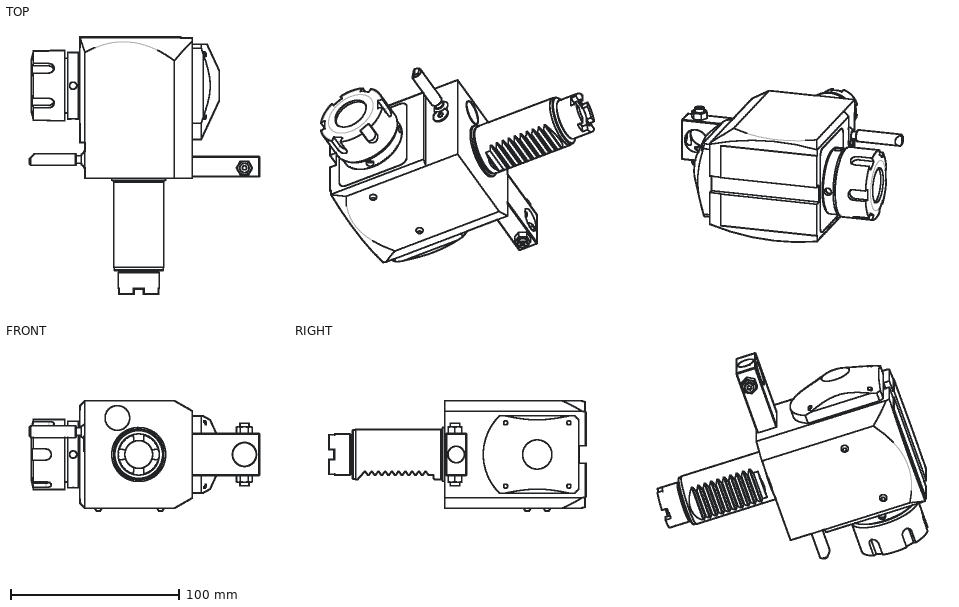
import cadquery as cq
import math


HALF_BLOCK = 32.0
BLOCK_BACK_Y = 83.5
PAD_X = -35.0
PAD_FRONT_Y = 21.3
PAD_CHAMFER = 3.0
BEVEL_X = 21.3
BEVEL_Z = 25.9
CROWN_CENTRE_X = -9.2
CROWN_BACK_RADIUS = 142.3
CROWN_BACK_Z = 31.4
CROWN_SLOPE = 0.28
BACK_PLATE_MAX_X = 25.0
BACK_PLATE_Y = 84.2
BACK_PLATE_HALF_HEIGHT = 25.2
BACK_NOTCH_HALF_HEIGHT = 5.2
BACK_NOTCH_DEPTH = 4.1
PLUG_CENTRE = (-12.7, 21.7)
PLUG_RADIUS = 7.3
PLUG_DEPTH = 0.5
NOZZLE_CENTRES = [(-24.0, 60.9), (13.0, 49.1)]
NOZZLE_BASE_RADIUS = 2.1
NOZZLE_TIP_RADIUS = 1.0
NOZZLE_TIP_Z = -33.7

SHANK_RADIUS = 15.0
COLLAR_RADIUS = 16.0
SHANK_END_Y = -55.0
COUPLING_RADIUS = 12.2
COUPLING_START_Y = -55.8
COUPLING_END_Y = -68.8
COUPLING_BORE_RADIUS = 8.3
COUPLING_BORE_DEPTH = 2.9
COUPLING_SLOT_INNER_WIDTH = 5.4
COUPLING_SLOT_OUTER_WIDTH = 6.6
COUPLING_SLOT_DEPTH = 3.4
COUPLING_SLOT_COUNT = 4
FLAT_Z = -12.2
FLAT_START_Y = -6.7
FLAT_STEP_CHAMFER = 0.9
TOOTH_ROOT_Z = -10.3
TOOTH_PITCH = 4.01
TOOTH_COUNT = 10
TOOTH_FIRST_Y = -11.3
TOOTH_ROOT_WIDTH = 0.5
TOOTH_GAP_WIDTH = 3.4
FLAT_RUNOUT_Y = -51.9
BELOW_SHANK_Z = -18.4

SPINDLE_Y = 55.1
LABEL_LENGTH = 45.3
LABEL_HEIGHT = 52.8
LABEL_CORNER = 4.6
LABEL_THICKNESS = 0.2
RING_RADIUS = 19.9
RING_OUTER_X = -42.2
RING_INNER_X = -36.0
RING_GROOVE_RADIUS = 19.1
RING_HOLE_X = -39.0
RING_HOLE_RADIUS = 2.1
RING_HOLE_DEPTH = 3.0
NUT_RADIUS = 21.0
NUT_BACK_X = -43.9
NUT_FRONT_X = -64.0
NUT_FACE_RADIUS = 15.0
NUT_NECK_RADIUS = 16.4
NUT_BORE_RADIUS = 10.4
NUT_BORE_DEPTH = 1.5
NUT_SLOT_COUNT = 6
NUT_SLOT_WIDTH = 6.6
NUT_SLOT_FLOOR_RADIUS = 17.7
NUT_SLOT_END_X = -52.0
NUT_UPPER_SLOT_END_X = -50.3

CAP_RADIUS = 32.1
CAP_RIM_X = 37.2
CAP_TIP_X = 48.0
CAP_TIP_RADIUS = 8.7
CAP_HALF_HEIGHT = 23.0
CAP_BACK_Y = 79.7
CAP_CORNER_CHAMFER = 2.3
CAP_BEVEL_START_X = 38.2
CAP_BEVEL_SLOPE = 0.55
CAP_HOLE_SPACING = 37.6
CAP_HOLE_RADIUS = 1.2
CAP_HOLE_FLOOR_X = 38.5

PIN_Y = 11.2
PIN_Z = 13.6
PIN_RADIUS = 3.5
PIN_END_X = -65.0
PIN_HEAD_X = -37.2
PIN_NECK_RADIUS = 2.3
PIN_FLARE_X = -34.1
PIN_FLARE_RADII = (3.0, 4.6)
PIN_END_CHAMFER = 0.9
PIN_HEAD_CHAMFER = 0.5
PIN_BEVEL = 3.2
SCREW_Z = 6.7
SCREW_RADIUS = 4.9
SCREW_HEIGHT = 0.8
SCREW_SOCKET_SIZE = 3.4

ARM_END_X = 71.9
ARM_Y = (0.8, 13.0)
ARM_HALF_HEIGHT = 12.5
ARM_CHAMFER = 0.5
ARM_HOLE_X = 62.9
ARM_HOLE_RADIUS = 7.0
END_HOLE_RADIUS = 4.9
BOLT_RECESS_DEPTH = 0.5
BOLT_Y = 6.1
BOLT_NUT_SIZE = 9.5
BOLT_NUT_TOP_Z = 16.5
BOLT_NUT_CHAMFER = 0.8
BOLT_RADIUS = 2.8
BOLT_TOP_Z = 18.7
BOLT_SOCKET_SIZE = 2.8
BOLT_SOCKET_DEPTH = 1.5


def box(x_range, y_range, z_range):
    """Box between three pairs of coordinates."""
    sizes = [b - a for a, b in (x_range, y_range, z_range)]
    corner = (x_range[0], y_range[0], z_range[0])
    return cq.Workplane("XY").box(*sizes, centered=False).translate(corner)


def turned_about_x(profile, axis_y=SPINDLE_Y, axis_z=0):
    """Solid of revolution from (x, radius) points about an axis along X."""
    points = [(profile[0][0], 0)] + profile + [(profile[-1][0], 0)]
    solid = cq.Workplane("XY").polyline(points).close().revolve(360, (0, 0, 0), (1, 0, 0))
    return solid.translate((0, axis_y, axis_z))


def turned_about_y(profile):
    """Solid of revolution from (radius, y) points about the Y axis."""
    points = [(0, profile[0][1])] + profile + [(0, profile[-1][1])]
    return cq.Workplane("XY").polyline(points).close().revolve(360, (0, 0, 0), (0, 1, 0))


def crown():
    """Wide cone whose surface forms the curved slope on the upper back edge."""
    front_radius = CROWN_BACK_RADIUS + CROWN_SLOPE * BLOCK_BACK_Y
    cone = turned_about_y([(front_radius, 0), (CROWN_BACK_RADIUS, BLOCK_BACK_Y)])
    return cone.translate((CROWN_CENTRE_X, 0, CROWN_BACK_Z - CROWN_BACK_RADIUS))


def housing():
    block_outline = [
        (-HALF_BLOCK, -HALF_BLOCK), (BEVEL_X, -HALF_BLOCK), (HALF_BLOCK, -BEVEL_Z),
        (HALF_BLOCK, BEVEL_Z), (BEVEL_X, HALF_BLOCK), (-HALF_BLOCK, HALF_BLOCK),
    ]
    block = cq.Workplane("XZ").polyline(block_outline).close().extrude(-BLOCK_BACK_Y)

    pad_edge_z = HALF_BLOCK - PAD_CHAMFER
    pad_outline = [
        (-HALF_BLOCK, -HALF_BLOCK), (-HALF_BLOCK, HALF_BLOCK),
        (PAD_X, pad_edge_z), (PAD_X, -pad_edge_z),
    ]
    pad = (cq.Workplane("XZ", origin=(0, PAD_FRONT_Y, 0)).polyline(pad_outline).close()
           .extrude(PAD_FRONT_Y - BLOCK_BACK_Y))
    upper_crown = crown()
    lower_crown = upper_crown.mirror("XY")
    body = block.union(pad).intersect(upper_crown).intersect(lower_crown)

    back_plate = box((PAD_X, BACK_PLATE_MAX_X), (BLOCK_BACK_Y, BACK_PLATE_Y),
                     (-BACK_PLATE_HALF_HEIGHT, BACK_PLATE_HALF_HEIGHT))
    notch = box((PAD_X, HALF_BLOCK), (BACK_PLATE_Y - BACK_NOTCH_DEPTH, BACK_PLATE_Y),
                (-BACK_NOTCH_HALF_HEIGHT, BACK_NOTCH_HALF_HEIGHT))
    plug_recess = (cq.Workplane("XZ").center(*PLUG_CENTRE).circle(PLUG_RADIUS)
                   .extrude(-PLUG_DEPTH))
    body = body.union(back_plate).cut(notch).cut(plug_recess)
    for x, y in NOZZLE_CENTRES:
        nozzle = (cq.Workplane("XY", origin=(x, y, -HALF_BLOCK)).circle(NOZZLE_BASE_RADIUS)
                  .workplane(offset=NOZZLE_TIP_Z + HALF_BLOCK).circle(NOZZLE_TIP_RADIUS).loft())
        body = body.union(nozzle)
    return body


def toothed_flat():
    """Cutter for the flat under the shank and its row of teeth."""
    flat = [
        (FLAT_START_Y + FLAT_STEP_CHAMFER, BELOW_SHANK_Z),
        (FLAT_START_Y + FLAT_STEP_CHAMFER, -SHANK_RADIUS),
        (FLAT_START_Y, -SHANK_RADIUS + FLAT_STEP_CHAMFER),
        (FLAT_START_Y, FLAT_Z),
    ]
    for i in range(TOOTH_COUNT):
        y = TOOTH_FIRST_Y - i * TOOTH_PITCH
        flat += [
            (y + TOOTH_GAP_WIDTH / 2, FLAT_Z), (y + TOOTH_ROOT_WIDTH / 2, TOOTH_ROOT_Z),
            (y - TOOTH_ROOT_WIDTH / 2, TOOTH_ROOT_Z), (y - TOOTH_GAP_WIDTH / 2, FLAT_Z),
        ]
    flat.pop()
    flat += [(FLAT_RUNOUT_Y, -SHANK_RADIUS), (FLAT_RUNOUT_Y, BELOW_SHANK_Z)]
    return cq.Workplane("YZ").polyline(flat).close().extrude(COLLAR_RADIUS, both=True)


def shank():
    collar_edge_y = -1.0
    collar_end_y = -1.7
    relief_radius = 14.7
    relief_end_y = -2.5
    end_land_y = -53.0
    end_land_radius = 14.7
    neck_radius = 9.2
    edge_chamfer = 0.5
    body = turned_about_y([
        (COLLAR_RADIUS, 0), (COLLAR_RADIUS, collar_edge_y), (relief_radius, collar_end_y),
        (relief_radius, relief_end_y), (SHANK_RADIUS, relief_end_y),
        (SHANK_RADIUS, end_land_y), (end_land_radius, end_land_y),
        (end_land_radius, SHANK_END_Y + edge_chamfer), (end_land_radius - edge_chamfer, SHANK_END_Y),
        (neck_radius, SHANK_END_Y), (neck_radius, COUPLING_START_Y),
        (COUPLING_RADIUS - edge_chamfer, COUPLING_START_Y),
        (COUPLING_RADIUS, COUPLING_START_Y - edge_chamfer),
        (COUPLING_RADIUS, COUPLING_END_Y),
    ])
    body = body.cut(toothed_flat())

    bore = (cq.Workplane("XZ", origin=(0, COUPLING_END_Y, 0)).circle(COUPLING_BORE_RADIUS)
            .extrude(-COUPLING_BORE_DEPTH))
    body = body.cut(bore)
    inner_half = COUPLING_SLOT_INNER_WIDTH / 2
    outer_half = COUPLING_SLOT_OUTER_WIDTH / 2
    bore_overlap = 1.5
    inner_x = COUPLING_BORE_RADIUS - bore_overlap
    slot_outline = [
        (inner_x, -inner_half), (COUPLING_RADIUS, -outer_half),
        (COUPLING_RADIUS, outer_half), (inner_x, inner_half),
    ]
    slot = (cq.Workplane("XZ", origin=(0, COUPLING_END_Y, 0)).polyline(slot_outline).close()
            .extrude(-COUPLING_SLOT_DEPTH))
    slot = slot.cut(turned_about_y([(COUPLING_BORE_RADIUS, COUPLING_END_Y),
                                    (COUPLING_BORE_RADIUS, COUPLING_START_Y)]))
    for i in range(COUPLING_SLOT_COUNT):
        body = body.cut(slot.rotate((0, 0, 0), (0, 1, 0), i * 360 / COUPLING_SLOT_COUNT))
    return body


def nut_slot(end_x):
    """Cutter for a spanner slot at the top of the nut, open in front and round behind."""
    half_slot = NUT_SLOT_WIDTH / 2
    return (cq.Workplane("XY", origin=(0, SPINDLE_Y, NUT_SLOT_FLOOR_RADIUS))
            .moveTo(NUT_FRONT_X, -half_slot).lineTo(end_x - half_slot, -half_slot)
            .threePointArc((end_x, 0), (end_x - half_slot, half_slot))
            .lineTo(NUT_FRONT_X, half_slot).close().extrude(NUT_RADIUS))


def spindle_nose():
    bevel_start_x = -62.7
    bevel_start_radius = 20.2
    nose = turned_about_x([
        (NUT_FRONT_X, NUT_FACE_RADIUS), (bevel_start_x, bevel_start_radius),
        (bevel_start_x, NUT_RADIUS), (NUT_BACK_X, NUT_RADIUS), (NUT_BACK_X, NUT_NECK_RADIUS),
        (RING_OUTER_X, NUT_NECK_RADIUS), (RING_OUTER_X, RING_RADIUS),
        (RING_INNER_X, RING_RADIUS), (RING_INNER_X, RING_GROOVE_RADIUS),
        (PAD_X, RING_GROOVE_RADIUS),
    ])
    nose = nose.cut(turned_about_x([
        (NUT_FRONT_X, NUT_BORE_RADIUS), (NUT_FRONT_X + NUT_BORE_DEPTH, NUT_BORE_RADIUS),
    ]))

    for i in range(NUT_SLOT_COUNT):
        angle = 90 + i * 360 / NUT_SLOT_COUNT
        is_upper = round(math.cos(math.radians(angle)), 3) > 0
        slot = nut_slot(NUT_UPPER_SLOT_END_X if is_upper else NUT_SLOT_END_X)
        nose = nose.cut(slot.rotate((0, SPINDLE_Y, 0), (1, SPINDLE_Y, 0), angle))

    ring_hole = (cq.Workplane("XY", origin=(RING_HOLE_X, SPINDLE_Y, RING_RADIUS - RING_HOLE_DEPTH))
                 .circle(RING_HOLE_RADIUS).extrude(RING_RADIUS))
    for angle in (0, 90, 180, 270):
        nose = nose.cut(ring_hole.rotate((0, SPINDLE_Y, 0), (1, SPINDLE_Y, 0), angle))

    label = (cq.Workplane("YZ", origin=(PAD_X, SPINDLE_Y, 0)).rect(LABEL_LENGTH, LABEL_HEIGHT)
             .extrude(-LABEL_THICKNESS).edges("|X").fillet(LABEL_CORNER))
    return nose.union(label)


def end_cap():
    cone = turned_about_x([
        (HALF_BLOCK, CAP_RADIUS), (CAP_RIM_X, CAP_RADIUS), (CAP_TIP_X, CAP_TIP_RADIUS),
    ])
    bevel_end_z = CAP_HALF_HEIGHT - CAP_BEVEL_SLOPE * (CAP_TIP_X - CAP_BEVEL_START_X)
    side_outline = [
        (HALF_BLOCK, -CAP_HALF_HEIGHT), (CAP_BEVEL_START_X, -CAP_HALF_HEIGHT),
        (CAP_TIP_X, -bevel_end_z), (CAP_TIP_X, bevel_end_z),
        (CAP_BEVEL_START_X, CAP_HALF_HEIGHT), (HALF_BLOCK, CAP_HALF_HEIGHT),
    ]
    side_limits = cq.Workplane("XZ").polyline(side_outline).close().extrude(-CAP_BACK_Y)
    back_edges = side_limits.faces(">Y").edges("|X")
    holes = (cq.Workplane("YZ", origin=(CAP_HOLE_FLOOR_X, SPINDLE_Y, 0))
             .rect(CAP_HOLE_SPACING, CAP_HOLE_SPACING, forConstruction=True).vertices()
             .circle(CAP_HOLE_RADIUS).extrude(CAP_TIP_X - CAP_HOLE_FLOOR_X))
    return cone.intersect(back_edges.chamfer(CAP_CORNER_CHAMFER)).cut(holes)


def pin():
    flare_start, flare_end = PIN_FLARE_RADII
    body = turned_about_x([
        (PIN_END_X, PIN_RADIUS - PIN_END_CHAMFER), (PIN_END_X + PIN_END_CHAMFER, PIN_RADIUS),
        (PIN_HEAD_X - PIN_HEAD_CHAMFER, PIN_RADIUS), (PIN_HEAD_X, PIN_RADIUS - PIN_HEAD_CHAMFER),
        (PIN_HEAD_X, PIN_NECK_RADIUS), (PIN_FLARE_X, PIN_NECK_RADIUS),
        (PIN_FLARE_X, flare_start), (-HALF_BLOCK, flare_end),
    ], PIN_Y, PIN_Z)
    pin_side_y = PIN_Y + PIN_RADIUS
    bevel = (cq.Workplane("XY").polyline([
        (PIN_END_X, pin_side_y - PIN_BEVEL), (PIN_END_X + PIN_BEVEL, pin_side_y),
        (PIN_END_X, pin_side_y)]).close().extrude(PIN_Z + PIN_RADIUS))
    return body.cut(bevel)


def locking_screw():
    face_x = -HALF_BLOCK - SCREW_HEIGHT
    head = turned_about_x([(face_x, SCREW_RADIUS), (-HALF_BLOCK, SCREW_RADIUS)], PIN_Y, SCREW_Z)
    socket = (cq.Workplane("YZ", origin=(face_x, PIN_Y, SCREW_Z))
              .polygon(6, SCREW_SOCKET_SIZE).extrude(SCREW_HEIGHT))
    return head.cut(socket)


def clamp_bolt():
    """Threaded end, socket and hexagon nut above the arm."""
    nut = (cq.Workplane("XY", origin=(ARM_HOLE_X, BOLT_Y, ARM_HALF_HEIGHT))
           .polygon(6, BOLT_NUT_SIZE).extrude(BOLT_NUT_TOP_Z - ARM_HALF_HEIGHT))
    nut_radius = BOLT_NUT_SIZE / 2
    rounding = (cq.Workplane("XY", origin=(ARM_HOLE_X, BOLT_Y, ARM_HALF_HEIGHT))
                .circle(nut_radius).extrude(BOLT_NUT_TOP_Z - ARM_HALF_HEIGHT)
                .faces(">Z").chamfer(BOLT_NUT_CHAMFER / 2, BOLT_NUT_CHAMFER))
    thread = (cq.Workplane("XY", origin=(ARM_HOLE_X, BOLT_Y, ARM_HALF_HEIGHT))
              .circle(BOLT_RADIUS).extrude(BOLT_TOP_Z - ARM_HALF_HEIGHT))
    socket = (cq.Workplane("XY", origin=(ARM_HOLE_X, BOLT_Y, BOLT_TOP_Z - BOLT_SOCKET_DEPTH))
              .polygon(6, BOLT_SOCKET_SIZE).extrude(BOLT_SOCKET_DEPTH))
    return nut.intersect(rounding).union(thread).cut(socket)


def support_arm():
    arm = box((HALF_BLOCK, ARM_END_X), ARM_Y, (-ARM_HALF_HEIGHT, ARM_HALF_HEIGHT))
    arm = arm.edges("|X or >X").chamfer(ARM_CHAMFER)
    hole = (cq.Workplane("XZ").center(ARM_HOLE_X, 0).circle(ARM_HOLE_RADIUS)
            .extrude(-ARM_Y[1]))
    end_hole = (cq.Workplane("YZ", origin=(ARM_HOLE_X, sum(ARM_Y) / 2, 0))
                .circle(END_HOLE_RADIUS).extrude(ARM_END_X - ARM_HOLE_X))
    bolt_recess = (cq.Workplane("XY", origin=(ARM_HOLE_X, BOLT_Y, 0)).circle(BOLT_RADIUS)
                   .extrude(ARM_HOLE_RADIUS + BOLT_RECESS_DEPTH, both=True))
    upper_bolt = clamp_bolt()
    return arm.cut(hole).cut(end_hole).cut(bolt_recess).union(upper_bolt).union(upper_bolt.mirror("XY"))


result = housing()
for feature in (shank, spindle_nose, end_cap, pin, locking_screw, support_arm):
    result = result.union(feature())